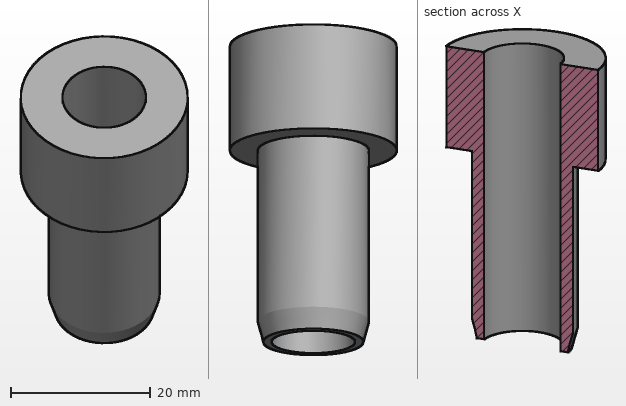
import cadquery as cq
import math

total_length = 44.0
head_diameter = 24.0
head_height = 15.5
shank_diameter = 16.0
bore_diameter = 12.0
lead_in_height = 3.0
lead_in_angle = 15.0

shank_length = total_length - head_height
shank_radius = shank_diameter / 2
head_radius = head_diameter / 2
bore_radius = bore_diameter / 2
tip_radius = shank_radius - lead_in_height * math.tan(math.radians(lead_in_angle))


def bushing():
    """Headed bushing with a through bore, revolved about Z; the head seats at Z = 0."""
    half_section = (
        cq.Workplane("XZ")
        .moveTo(bore_radius, -shank_length)
        .lineTo(tip_radius, -shank_length)
        .lineTo(shank_radius, -shank_length + lead_in_height)
        .lineTo(shank_radius, 0)
        .lineTo(head_radius, 0)
        .lineTo(head_radius, head_height)
        .lineTo(bore_radius, head_height)
        .close()
    )
    return half_section.revolve(360, (0, 0, 0), (0, 1, 0))


result = bushing()